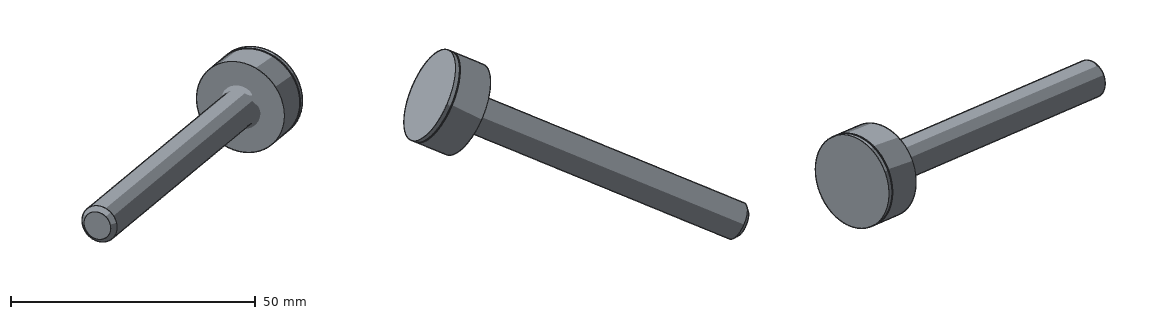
import cadquery as cq

total_length = 75.0
head_diameter = 20.0
head_length = 8.5
stem_diameter = 8.0

neck_fillet = 1.0
tip_chamfer = 1.0

groove_offset = 1.0
groove_width = 0.2
groove_depth = 0.1

stem_length = total_length - head_length


def cylinder_along_y(diameter, y_start, length):
    """Cylinder on the Y axis, running from y_start towards +Y."""
    plane = cq.Workplane("XZ", origin=(0, y_start, 0))
    return plane.circle(diameter / 2).extrude(-length)


def make_stem():
    stem = cylinder_along_y(stem_diameter, 0, stem_length)
    return stem.faces("<Y").chamfer(tip_chamfer)


def make_head():
    return cylinder_along_y(head_diameter, stem_length, head_length)


def make_groove_cutter():
    """Ring that removes the groove from the head's round side."""
    groove_start = total_length - groove_offset - groove_width
    outer = cylinder_along_y(head_diameter, groove_start, groove_width)
    core = cylinder_along_y(head_diameter - 2 * groove_depth, groove_start, groove_width)
    return outer.cut(core)


body = make_stem().union(make_head())

neck_edge = cq.selectors.BoxSelector(
    (-stem_diameter, stem_length - neck_fillet / 2, -stem_diameter),
    (stem_diameter, stem_length + neck_fillet / 2, stem_diameter),
    boundingbox=True,
)
body = body.edges(neck_edge).fillet(neck_fillet)

result = body.cut(make_groove_cutter())